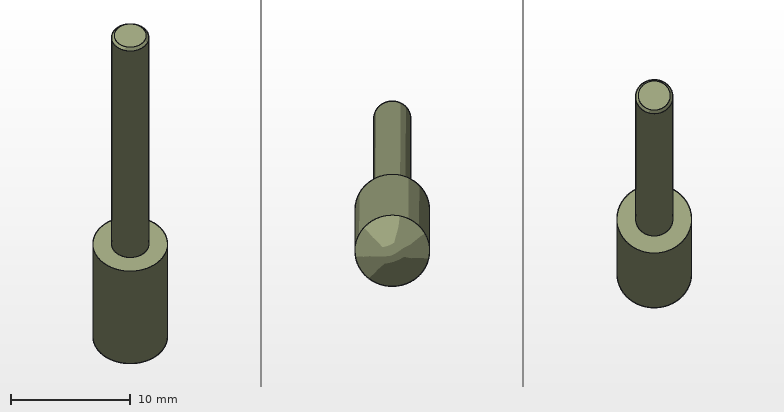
import cadquery as cq

total_height = 38.1
head_diameter = 6.25
shoulder_height = 12.73
tip_height = 1.45
shank_diameter = 3.12
shank_chamfer = 0.23

head_radius = head_diameter / 2
shank_length = total_height - shoulder_height


def make_head():
    """Cylindrical head with a conical point at the origin."""
    return (
        cq.Workplane("XZ")
        .moveTo(0, 0)
        .lineTo(head_radius, tip_height)
        .lineTo(head_radius, shoulder_height)
        .lineTo(0, shoulder_height)
        .close()
        .revolve(360, (0, 0, 0), (0, 1, 0))
    )


def make_shank():
    """Round shank standing on the head, chamfered at its free end."""
    return (
        cq.Workplane("XY")
        .workplane(offset=shoulder_height)
        .circle(shank_diameter / 2)
        .extrude(shank_length)
        .faces(">Z")
        .chamfer(shank_chamfer)
    )


head = make_head()
shank = make_shank()

result = cq.Compound.makeCompound([head.val(), shank.val()])